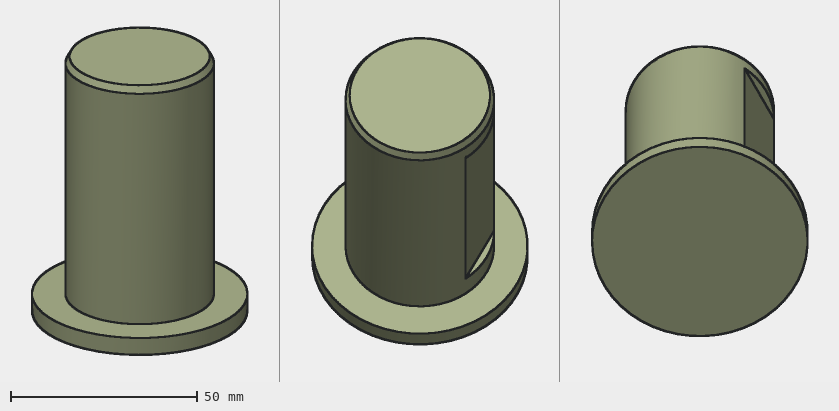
import cadquery as cq

total_height = 75.0
flange_diameter = 58.0
flange_thickness = 5.0
shaft_diameter = 40.0
chamfer_height = 2.0
chamfer_inset = 1.1
flat_depth = 2.0
flat_bottom = 12.0
flat_top = 68.0

shaft_radius = shaft_diameter / 2


def make_flange():
    return cq.Workplane("XY").circle(flange_diameter / 2).extrude(flange_thickness)


def make_shaft():
    """Round shaft standing on the base plane, with a bevelled top edge."""
    shaft = cq.Workplane("XY").circle(shaft_radius).extrude(total_height)
    return shaft.faces(">Z").chamfer(chamfer_height, chamfer_inset)


def make_flat_cutter():
    """Block that cuts a chordal flat into the +Y side of the shaft."""
    return cq.Workplane("XY").box(
        shaft_diameter, flat_depth, flat_top - flat_bottom, centered=(True, False, False)
    ).translate((0, shaft_radius - flat_depth, flat_bottom))


result = make_flange().union(make_shaft()).cut(make_flat_cutter())